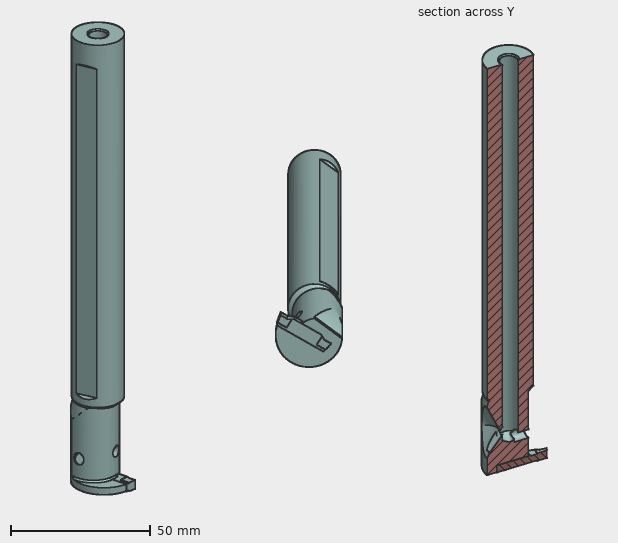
import cadquery as cq
import math

total_height = 177.9
shank_radius = 9.52
shank_bottom = 33.5
taper_bottom = 31.7
taper_radius = 7.5

flat_distance = 8.5
flat_bottom = 37.2
flat_top = 168.3
flat_depth = shank_radius - flat_distance

wide_radius = 12.0
wide_center = wide_radius - shank_radius
narrow_radius = 9.5
narrow_center = -1.87
head_bottom = 0.4
flange_top = 3.2
collar_width = 0.7

neck_top = taper_bottom + 0.9
neck_radius = 9.0
neck_flare = math.tan(math.radians(12))

relief_top = 18.7
relief_middle_y = 8.2
relief_middle_z = 7.5
relief_bottom_y = 6.4
relief_bottom_z = 2.1

bore_radius = 3.4
bore_mouth_radius = 4.0
bore_bottom = 13.7
bore_point_depth = 2.5

pocket_radius = 4.54
pocket_y = -0.8
pocket_z = 18.9
pocket_tilt = 24

duct_radius = 1.2
duct_tilt = 40
duct_y = -0.5
duct_exit_x = -7.0
duct_exit_z = 13.3
duct_length = 10.7
duct_overrun = 3.5

outlet_radius = 2.1
front_outlet_x = -2.75
front_outlet_z = 11.7
front_outlet_tilt = 25
front_outlet_depth = 1.8
front_outlet_overrun = 3.5
side_outlet_z = 13.2

tip_x = 15.39
tip_y = 0.0
insert_length = 21.2
insert_tilt = 7.0
tip_height = 3.5
waist_inset = 0.27
rake_length = 2.8
crest_length = 5.0
tip_length = 4.3
tip_depth = 3.0
waist_rise = 1.0
insert_depth = 4.1
end_clearance = 0.8

large = 4 * wide_radius


def disc(center_x, radius, bottom, top):
    """Upright cylinder with its axis on Y = 0."""
    plane = cq.Workplane("XY", origin=(center_x, 0, bottom))
    return plane.circle(radius).extrude(top - bottom)


def rod(start, direction, radius, length):
    """Cylinder from a start point along a direction."""
    return cq.Workplane(cq.Solid.makeCylinder(radius, length, cq.Vector(*start), cq.Vector(*direction)))


def make_shank():
    """Round shank with a tapered lower end and a clamping flat on the front and back."""
    profile = [
        (0, taper_bottom),
        (taper_radius, taper_bottom),
        (shank_radius, shank_bottom),
        (shank_radius, total_height),
        (0, total_height),
    ]
    shank = cq.Workplane("XZ").polyline(profile).close().revolve(360, (0, 0, 0), (0, 1, 0))
    flat = [
        (flat_distance, flat_bottom),
        (shank_radius, flat_bottom - flat_depth),
        (shank_radius, flat_top + flat_depth),
        (flat_distance, flat_top),
    ]
    for side in (1, -1):
        outline = [(side * y, z) for y, z in flat]
        shank = shank.cut(cq.Workplane("YZ").polyline(outline).close().extrude(shank_radius, both=True))
    return shank


def make_head():
    """Two-arc head that narrows into the shank through a shallow cone."""
    head = disc(wide_center, wide_radius, head_bottom, neck_top)
    head = head.intersect(disc(narrow_center, narrow_radius, head_bottom, neck_top))
    base_radius = neck_radius + neck_flare * (neck_top - head_bottom)
    cone = [(0, head_bottom), (base_radius, head_bottom), (neck_radius, neck_top), (0, neck_top)]
    return head.intersect(cq.Workplane("XZ").polyline(cone).close().revolve(360, (0, 0, 0), (0, 1, 0)))


def make_flange():
    """Front half of the wide disc, with a sloped collar where the head stands on it."""
    flange = disc(wide_center, wide_radius, head_bottom, flange_top)
    collar = cq.Workplane(
        cq.Solid.makeCone(
            narrow_radius + collar_width, narrow_radius, collar_width, cq.Vector(narrow_center, 0, flange_top)
        )
    )
    collar = collar.intersect(disc(wide_center, wide_radius, head_bottom, neck_top))
    front = cq.Workplane("XY").box(large, large, large).translate((0, tip_y - large / 2, 0))
    return flange.union(collar).intersect(front)


def make_relief():
    """Rounded clearance cut away from the back of the head."""
    outer_y = large / 2
    return (
        cq.Workplane("YZ")
        .moveTo(shank_radius, relief_top)
        .threePointArc((relief_middle_y, relief_middle_z), (relief_bottom_y, relief_bottom_z))
        .lineTo(relief_bottom_y, 0)
        .lineTo(outer_y, 0)
        .lineTo(outer_y, relief_top)
        .close()
        .extrude(large, both=True)
    )


def make_bore():
    """Central coolant bore with a countersunk mouth and a drill-point end."""
    bore = disc(0, bore_radius, bore_bottom, total_height)
    mouth_depth = bore_mouth_radius - bore_radius
    mouth = cq.Solid.makeCone(
        bore_radius, bore_mouth_radius, mouth_depth, cq.Vector(0, 0, total_height - mouth_depth)
    )
    point = cq.Solid.makeCone(
        bore_radius, 0, bore_point_depth, cq.Vector(0, 0, bore_bottom), cq.Vector(0, 0, -1)
    )
    return bore.union(cq.Workplane(mouth)).union(cq.Workplane(point))


def make_pocket():
    """Overlap of two oppositely tilted cylinders that cross on the left side of the head."""
    angle = math.radians(pocket_tilt)
    walls = []
    for slope in (1, -1):
        direction = (math.sin(angle), 0, slope * math.cos(angle))
        start = (
            -shank_radius - large * direction[0],
            pocket_y,
            pocket_z - large * direction[2],
        )
        walls.append(rod(start, direction, pocket_radius, 2 * large))
    return walls[0].intersect(walls[1])


def make_duct():
    """Sloping coolant duct from the bore to the pocket."""
    angle = math.radians(duct_tilt)
    direction = (math.sin(angle), 0, math.cos(angle))
    start = (
        duct_exit_x - duct_overrun * direction[0],
        duct_y,
        duct_exit_z - duct_overrun * direction[2],
    )
    return rod(start, direction, duct_radius, duct_overrun + duct_length)


def make_outlets():
    """Blind coolant outlet on the front and a coolant outlet from the bore to the cutting side."""
    angle = math.radians(front_outlet_tilt)
    inward = (0, math.cos(angle), -math.sin(angle))
    surface = (front_outlet_x, -narrow_radius, front_outlet_z)
    start = [place - front_outlet_overrun * step for place, step in zip(surface, inward)]
    front = rod(start, inward, outlet_radius, front_outlet_overrun + front_outlet_depth)
    side = rod((bore_radius / 2, 0, side_outlet_z), (1, 0, 0), outlet_radius, shank_radius)
    return front.union(side)


def make_insert():
    """Double-ended insert: two cutting tips joined by a waist that is wider in Y and slightly thinner."""
    half = insert_length / 2
    right_side = [
        (half - crest_length, waist_rise),
        (half - rake_length, 0),
        (half, 0),
        (half - end_clearance, -insert_depth),
    ]
    left_side = [(-x, y) for x, y in reversed(right_side)]
    outline = right_side + left_side
    tip_slab = cq.Workplane("XY").polyline(outline).close().extrude(tip_height)
    waist_plane = cq.Workplane("XY", origin=(0, 0, waist_inset))
    insert = waist_plane.polyline(outline).close().extrude(tip_height - 2 * waist_inset)
    pad_center_y = -tip_depth + large / 2
    for side in (1, -1):
        pad = cq.Workplane("XY").box(2 * tip_length, large, large)
        pad = pad.translate((side * half, pad_center_y, 0)).intersect(tip_slab)
        insert = insert.union(pad)
    insert = insert.translate((-half, 0, 0)).rotate((0, 0, 0), (0, 0, 1), -insert_tilt)
    return insert.translate((tip_x, tip_y, 0))


def make_bar(insert):
    """Shank, head and flange in one piece, with the coolant holes and the insert seat cut into it."""
    bar = make_shank().union(make_head()).union(make_flange())
    for tool in (make_relief(), make_bore(), make_pocket(), make_duct(), make_outlets(), insert):
        bar = bar.cut(tool)
    return bar


insert = make_insert()
bar = make_bar(insert)
result = cq.Compound.makeCompound([bar.solids().val(), insert.solids().val()])